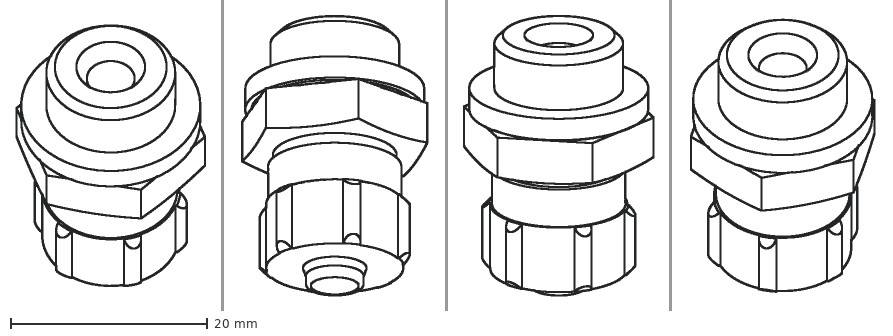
import cadquery as cq
import math

tube_straight_top = 1.1
nut_bottom = 1.95
nut_top = 8.95
neck_bottom = 13.02
hex_bottom = 14.28
hex_top = 18.95
washer_bottom = 19.25
washer_top = 21.57
total_height = 27.3

bore_diameter = 4.9
countersink_diameter = 7.02
tube_diameter = 5.9
flare_diameter = 6.5
nut_diameter = 14.0
collar_diameter = 13.62
neck_diameter = 12.15
hex_across_flats = 17.0
washer_diameter = 18.3
spigot_diameter = 13.15

tube_edge_radius = 0.25
neck_flare_height = 0.45
neck_flare_width = 0.25
spigot_chamfer = 0.87
countersink_depth = 1.75
hex_chamfer_angle = 15.0

rib_count = 6
rib_radius = 0.9
rib_tip_radius = 7.92
rib_chamfer = 0.8


def cylinder(diameter, bottom, top):
    return cq.Workplane("XY").workplane(offset=bottom).circle(diameter / 2).extrude(top - bottom)


def cone(bottom_diameter, top_diameter, bottom, top):
    profile = [(0, bottom), (bottom_diameter / 2, bottom), (top_diameter / 2, top), (0, top)]
    return cq.Workplane("XZ").polyline(profile).close().revolve(360, (0, 0), (0, 1))


def make_tube():
    straight = cylinder(tube_diameter, 0, tube_straight_top).faces("<Z").edges().fillet(tube_edge_radius)
    return straight.union(cone(tube_diameter, flare_diameter, tube_straight_top, nut_bottom))


def make_nut():
    """Round nut with half-round ribs whose ends are bevelled at 45 degrees."""
    ribs = (
        cq.Workplane("XY")
        .workplane(offset=nut_bottom)
        .polarArray(rib_tip_radius - rib_radius, 90, 360, rib_count)
        .circle(rib_radius)
        .extrude(nut_top - nut_bottom)
    )
    bevelled_envelope = cylinder(2 * rib_tip_radius, nut_bottom, nut_top).edges().chamfer(rib_chamfer)
    return cylinder(nut_diameter, nut_bottom, nut_top).union(ribs.intersect(bevelled_envelope))


def make_neck():
    """Neck that curves outward into the underside of the hexagon."""
    radius = neck_diameter / 2
    flare_radius = (neck_flare_height**2 + neck_flare_width**2) / (2 * neck_flare_width)
    profile = (
        cq.Workplane("XZ")
        .moveTo(0, neck_bottom)
        .lineTo(radius, neck_bottom)
        .lineTo(radius, hex_bottom - neck_flare_height)
        .radiusArc((radius + neck_flare_width, hex_bottom), flare_radius)
        .lineTo(0, hex_bottom)
        .close()
    )
    return profile.revolve(360, (0, 0), (0, 1))


def make_hexagon():
    """Hexagon with corners on the Y axis and a conical chamfer on its lower side."""
    across_corners = hex_across_flats / math.cos(math.radians(30))
    prism = (
        cq.Workplane("XY")
        .workplane(offset=hex_bottom)
        .polygon(6, across_corners)
        .extrude(hex_top - hex_bottom)
        .rotate((0, 0, 0), (0, 0, 1), 30)
    )
    height = hex_top - hex_bottom
    spread = 2 * height / math.tan(math.radians(hex_chamfer_angle))
    return prism.intersect(cone(hex_across_flats, hex_across_flats + spread, hex_bottom, hex_top))


def make_spigot():
    return cylinder(spigot_diameter, washer_top, total_height).faces(">Z").edges().chamfer(spigot_chamfer)


result = (
    make_tube()
    .union(make_nut())
    .union(cylinder(collar_diameter, nut_top, neck_bottom))
    .union(make_neck())
    .union(make_hexagon())
    .union(cylinder(hex_across_flats, hex_top, washer_bottom))
    .union(cylinder(washer_diameter, washer_bottom, washer_top))
    .union(make_spigot())
    .cut(cylinder(bore_diameter, 0, total_height))
    .cut(cone(bore_diameter, countersink_diameter, total_height - countersink_depth, total_height))
)